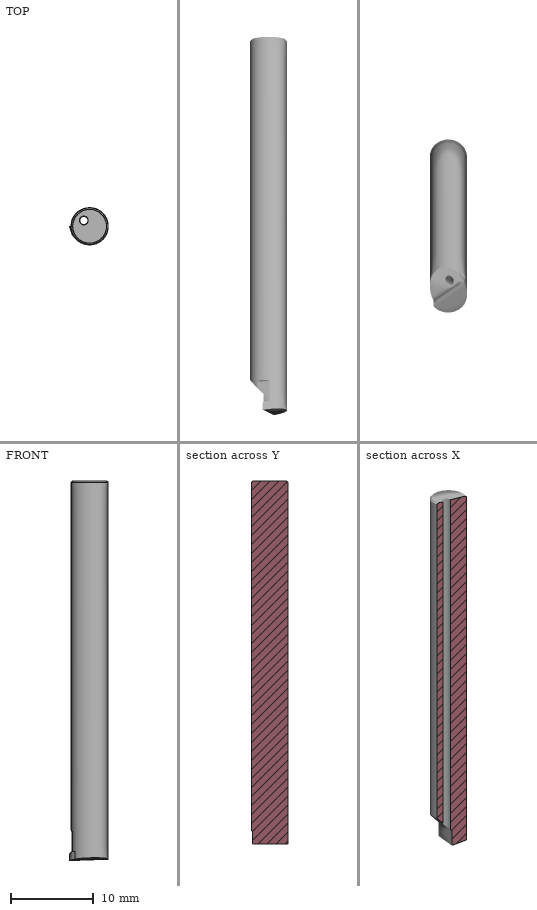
import cadquery as cq
import math

shank_radius = 2.25
length = 46.0
shank_chamfer = 0.2

hole_diameter = 1.0
hole_x = -0.7
hole_y = 0.7

rake_height = 2.0
runout_angle = 45.0

flat_x = -2.12
flat_top = 3.57

tip_x = -2.46
tip_edge_height = 0.78
tip_height = tip_edge_height + flat_x - tip_x
first_clearance_end = (-2.1, -1.0)
second_clearance_end = (-1.8, -1.4)

end_rise_across = 2.0
end_rise_behind = 6.5

margin = 1.0


def make_shank():
    """Round bar with a chamfered upper end."""
    bar = cq.Workplane("XY").circle(shank_radius).extrude(length)
    return bar.faces(">Z").chamfer(shank_chamfer)


def make_flat_cutter():
    """Cuts the side flat, from the tip up to its sloping upper end."""
    reach = shank_radius + margin
    return (
        cq.Workplane("XZ")
        .moveTo(flat_x, 0)
        .lineTo(flat_x, flat_top)
        .lineTo(-reach, flat_top + reach + flat_x)
        .lineTo(-reach, 0)
        .close()
        .extrude(reach, both=True)
    )


def make_lower_bar():
    """Full round section of the bar beside the tip, left uncut by the side flat."""
    return cq.Workplane("XY").circle(shank_radius).extrude(tip_height)


def make_tip():
    """Tip and the bar beside it: clearance faces in plan, a 45 degree bevel on its upper edge."""
    wedge = (
        cq.Workplane("XY")
        .moveTo(0, 0)
        .lineTo(tip_x, 0)
        .lineTo(*first_clearance_end)
        .lineTo(*second_clearance_end)
        .close()
        .extrude(tip_height)
    )
    side_profile = (
        cq.Workplane("XZ")
        .moveTo(tip_x, 0)
        .lineTo(tip_x, tip_edge_height)
        .lineTo(flat_x, tip_height)
        .lineTo(shank_radius, tip_height)
        .lineTo(shank_radius, 0)
        .close()
        .extrude(shank_radius)
    )
    return wedge.union(make_lower_bar()).intersect(side_profile)


def make_rake_cutter():
    """Removes the +Y half at the tip and runs out of the bar along a slope."""
    reach = shank_radius + margin
    runout_top = rake_height + reach * math.tan(math.radians(runout_angle))
    return (
        cq.Workplane("YZ")
        .moveTo(0, -margin)
        .lineTo(0, rake_height)
        .lineTo(reach, runout_top)
        .lineTo(reach, -margin)
        .close()
        .extrude(shank_radius + margin, both=True)
    )


def make_end_cutter():
    """Block below the sloping end face, hinged on the tip corner."""
    width = 8 * shank_radius
    depth = 4 * shank_radius
    block = cq.Workplane("XY").box(width, width, depth, centered=(True, True, False))
    block = block.translate((0, 0, -depth))
    block = block.rotate((0, 0, 0), (1, 0, 0), -end_rise_behind)
    block = block.rotate((0, 0, 0), (0, 1, 0), -end_rise_across)
    return block.translate((tip_x, 0, 0))


def make_coolant_hole():
    """Hole through the full length; it leaves the bar on the sloping run-out."""
    return cq.Workplane("XY").center(hole_x, hole_y).circle(hole_diameter / 2).extrude(length)


result = (
    make_shank()
    .cut(make_flat_cutter())
    .union(make_tip())
    .cut(make_rake_cutter())
    .cut(make_end_cutter())
    .cut(make_coolant_hole())
)